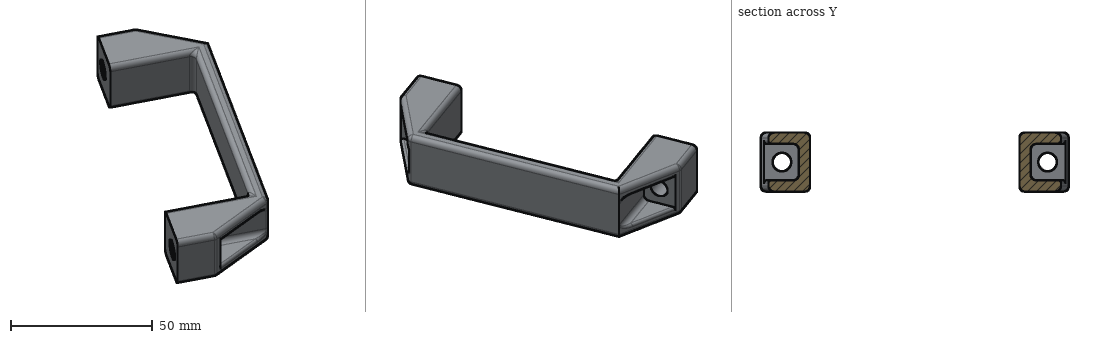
import cadquery as cq
import math

LENGTH = 109.0
HEIGHT = 37.0
WIDTH = 21.0

LEG_THICKNESS = 17.5
GRIP_THICKNESS = 6.0
SHOULDER_HEIGHT = 14.0
SLOPE_RUN = 13.5
EDGE_RADIUS = 2.0

HOLE_SPACING = 94.0
HOLE_DIAMETER = 6.5
HOLE_CHAMFER = 0.5

POCKET_WIDTH = 12.8
POCKET_DEPTH = 13.45
POCKET_SEAT_HEIGHT = 16.0
POCKET_CORNER_RADIUS = 2.0
POCKET_LIP_RADIUS = 1.0

OUTER_X = LENGTH / 2
TOP_X = OUTER_X - SLOPE_RUN
INNER_X = OUTER_X - LEG_THICKNESS
INNER_Y = HEIGHT - GRIP_THICKNESS

SELECT_MARGIN = 0.3


def edges_near_corner(body, x, y):
    """Select the seam that runs across the width at a profile corner."""
    reach = EDGE_RADIUS + SELECT_MARGIN
    box = cq.selectors.BoxSelector(
        (x - reach, y - reach, -WIDTH),
        (x + reach, y + reach, WIDTH),
        boundingbox=True,
    )
    return body.edges(box)


def make_body():
    """Bridge-shaped handle with rounded side edges and rounded corners, without pockets."""
    body = (
        cq.Workplane("XY")
        .polyline([
            (-OUTER_X, 0),
            (-OUTER_X, SHOULDER_HEIGHT),
            (-TOP_X, HEIGHT),
            (TOP_X, HEIGHT),
            (OUTER_X, SHOULDER_HEIGHT),
            (OUTER_X, 0),
            (INNER_X, 0),
            (INNER_X, INNER_Y),
            (-INNER_X, INNER_Y),
            (-INNER_X, 0),
        ])
        .close()
        .extrude(WIDTH / 2, both=True)
    )
    side_edges = [
        edge for edge in body.faces("|Z").edges().vals() if edge.Center().y > SELECT_MARGIN
    ]
    body = body.newObject(side_edges).fillet(EDGE_RADIUS)

    rounded_corners = [
        (-OUTER_X, SHOULDER_HEIGHT),
        (OUTER_X, SHOULDER_HEIGHT),
        (TOP_X, HEIGHT),
        (-INNER_X, INNER_Y),
        (INNER_X, INNER_Y),
    ]
    for x, y in rounded_corners:
        body = edges_near_corner(body, x, y).fillet(EDGE_RADIUS)
    return body


def make_pocket(side):
    """Screw access pocket on one side (-1 or +1), with rounded inner corners."""
    pocket = (
        cq.Workplane("XY")
        .box(LENGTH, HEIGHT, POCKET_WIDTH, centered=(False, False, True))
        .edges("<X and |Y")
        .fillet(POCKET_CORNER_RADIUS)
        .translate((OUTER_X - POCKET_DEPTH, POCKET_SEAT_HEIGHT, 0))
    )
    return pocket if side > 0 else pocket.mirror("YZ")


def lip_edges(body, side):
    """Pocket edges that lie in the sloped face, leaving out the seat and floor ends."""
    angle = math.atan2(SLOPE_RUN, HEIGHT - SHOULDER_HEIGHT)

    def is_lip(edge):
        center = edge.Center()
        beyond_leg = (side * center.x - OUTER_X) * math.cos(angle)
        beyond_shoulder = (center.y - SHOULDER_HEIGHT) * math.sin(angle)
        in_slope = abs(beyond_leg + beyond_shoulder) < SELECT_MARGIN
        beside_pocket = SELECT_MARGIN < abs(center.z) < POCKET_WIDTH / 2 + SELECT_MARGIN
        return in_slope and beside_pocket

    return body.newObject([edge for edge in body.edges().vals() if is_lip(edge)])


def make_mounting_hole(side):
    """Screw hole from the mounting face into the pocket, chamfered at the mounting face."""
    start = cq.Workplane("XZ").center(side * HOLE_SPACING / 2, 0)
    hole = start.circle(HOLE_DIAMETER / 2).extrude(-POCKET_SEAT_HEIGHT)
    mouth = cq.Solid.makeCone(
        HOLE_DIAMETER / 2 + HOLE_CHAMFER,
        HOLE_DIAMETER / 2,
        HOLE_CHAMFER,
        cq.Vector(side * HOLE_SPACING / 2, 0, 0),
        cq.Vector(0, 1, 0),
    )
    return hole.union(cq.Workplane(mouth))


result = make_body()
for side in (-1, 1):
    result = result.cut(make_pocket(side))
    result = lip_edges(result, side).fillet(POCKET_LIP_RADIUS)
    result = result.cut(make_mounting_hole(side))